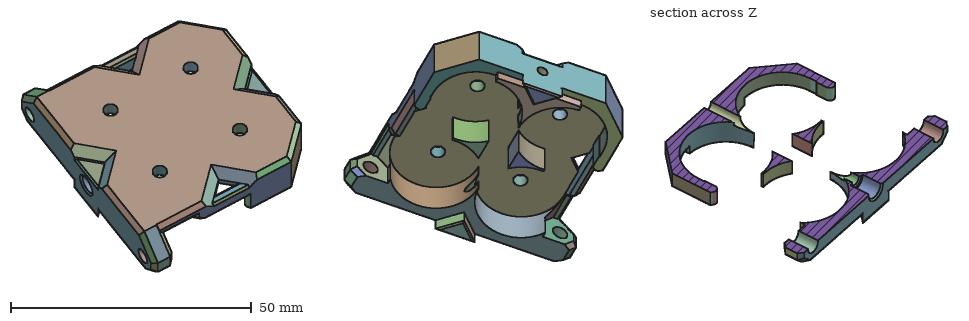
import cadquery as cq
import math

ROOT2 = math.sqrt(2)
OVERHANG = 1.0

body_half_width = 21.5
front_y = -22.0
rear_y = 21.83
body_height = 9.95
rear_corner = 7.05
edge_chamfer = 1.07
plate_thickness = 3.3

bar_half_width = 25.75
bar_thickness = 5.15
ear_top_corner = 5.2
ear_bottom_corner = 1.6
bar_back_y = front_y + bar_thickness

bore_radius = 9.65
bore_x = 9.7
bore_pitch_y = 19.8
bore_shift_y = -0.25
front_bore_y = bore_shift_y - bore_pitch_y / 2
rear_bore_y = bore_shift_y + bore_pitch_y / 2
cavity_half_width = bore_x + bore_radius
center_recess_half_width = 3.4
web_neck_x = 10.4

window_ramp_y = -6.67
window_step_y = -8.0
window_low_z = -4.94
window_high_z = -2.24
window_chamfer = 1.07
window_top_chamfer = 0.44
window_slope_x = -20.02
window_inner_x = -17.66

wall_end_y = 4.79
wall_end_chamfer_x = 0.45
wall_end_chamfer_y = 0.3
wall_end_nose_y = 4.2
wall_end_nose_x = -20.3
wall_end_root_y = 8.0

front_notch_reach = 7.42
side_notch_reach = 7.8
notch_slope_depth = 2.0
sill_chamfer = 0.5
front_sill_depth = 2.65
front_sill_chamfer = 0.4
rear_sill_depth = 2.7
rear_pocket_chamfer = 0.4

foot_size = 4.5
foot_height = 3.0
foot_chamfer = 0.35
boss_half_width = 9.5
boss_front_y = 9.79
boss_rear_y = 20.3
boss_height = 2.0

mount_hole_diameter = 3.0
mount_hole_x = 9.4
mount_hole_y = 9.9
ear_hole_diameter = 3.3
ear_hole_x = 21.6
cross_hole_z = -6.75
insert_diameter = 4.1
insert_depth = 5.0
insert_mouth_chamfer = 0.4
screw_diameter = 2.3
screw_chamfer = 0.35


def box(x0, x1, y0, y1, z0, z1):
    """Axis-aligned block between the given limits."""
    return cq.Workplane("XY").box(x1 - x0, y1 - y0, z1 - z0, centered=False).translate((x0, y0, z0))


def triangle(reach, z):
    """Right-angled triangle outline pointing +Y whose apex is `reach` inside the edge at Y = 0."""
    half_base = reach + OVERHANG
    points = [(-half_base, -OVERHANG), (half_base, -OVERHANG), (0, reach)]
    return cq.Workplane("XY", origin=(0, 0, z)).polyline(points).close()


def make_body():
    """Main block with cut rear corners and a chamfered top; its front end lies inside the bar."""
    inner_front_y = (front_y + bar_back_y) / 2
    points = [
        (-body_half_width, inner_front_y),
        (body_half_width, inner_front_y),
        (body_half_width, rear_y - rear_corner),
        (body_half_width - rear_corner, rear_y),
        (rear_corner - body_half_width, rear_y),
        (-body_half_width, rear_y - rear_corner),
    ]
    body = cq.Workplane("XY").polyline(points).close().extrude(-body_height)
    return body.faces(">Z").edges("not(<Y)").chamfer(edge_chamfer)


def make_bar():
    """Front bar carrying the ears, chamfered all round except along its bottom."""
    points = [
        (ear_bottom_corner - bar_half_width, -body_height),
        (bar_half_width - ear_bottom_corner, -body_height),
        (bar_half_width, ear_bottom_corner - body_height),
        (bar_half_width, -ear_top_corner),
        (bar_half_width - ear_top_corner, 0),
        (ear_top_corner - bar_half_width, 0),
        (-bar_half_width, -ear_top_corner),
        (-bar_half_width, ear_bottom_corner - body_height),
    ]
    bar = cq.Workplane("XZ", origin=(0, front_y, 0)).polyline(points).close().extrude(-bar_thickness)
    return bar.faces("<Y or >Y").edges("not(<Z)").chamfer(edge_chamfer)


def make_wall_end():
    """Wall that stays behind the -X window: chamfered outside, then rounded towards the bore."""
    outer_x = -body_half_width
    arc_start_x = outer_x + wall_end_chamfer_x
    arc_start_y = wall_end_y - wall_end_chamfer_y
    half_chord = wall_end_nose_x - arc_start_x
    rise = arc_start_y - wall_end_nose_y
    nose_radius = (half_chord**2 + rise**2) / (2 * rise)
    arc_end_x = wall_end_nose_x + nose_radius
    arc_end_y = wall_end_nose_y + nose_radius
    profile = (
        cq.Workplane("XY")
        .moveTo(outer_x, wall_end_root_y)
        .lineTo(outer_x, wall_end_y)
        .lineTo(arc_start_x, arc_start_y)
        .threePointArc((wall_end_nose_x, wall_end_nose_y), (arc_end_x, arc_end_y))
        .lineTo(arc_end_x, wall_end_root_y)
        .close()
    )
    return profile.extrude(-body_height)


def make_cavity():
    """Four bores joined by a central recess and cleared out to the side walls."""
    centers = [(sx * bore_x, y) for sx in (-1, 1) for y in (front_bore_y, rear_bore_y)]
    depth = body_height - plate_thickness
    underside = cq.Workplane("XY", origin=(0, 0, -body_height))
    cavity = underside.pushPoints(centers).circle(bore_radius).extrude(depth)
    low, high = -body_height, -plate_thickness
    wall_end = make_wall_end()
    wall_ends = wall_end.union(wall_end.mirror("YZ"))
    recess = box(-center_recess_half_width, center_recess_half_width, front_bore_y, rear_bore_y, low, high)
    cavity = cavity.union(recess)
    for x0, x1 in ((-cavity_half_width, -web_neck_x), (web_neck_x, cavity_half_width)):
        cavity = cavity.union(box(x0, x1, front_bore_y, rear_bore_y, low, high).cut(wall_ends))
    return cavity


def window_section(x, inset, top_inset):
    """Stepped window outline in the YZ plane, its edges moved inward by `inset`, the top by `top_inset`."""
    ramp_shift = inset * (ROOT2 - 1)
    ramp_rise = window_ramp_y - window_step_y
    bottom_z = -body_height - OVERHANG
    points = [
        (wall_end_root_y, bottom_z),
        (wall_end_root_y, window_low_z - inset),
        (window_ramp_y - ramp_shift, window_low_z - inset),
        (window_step_y - inset, window_low_z + ramp_rise - ramp_shift),
        (window_step_y - inset, window_high_z - top_inset),
        (bar_back_y, window_high_z - top_inset),
        (bar_back_y, bottom_z),
    ]
    return cq.Workplane("YZ", origin=(x, 0, 0)).polyline(points).close()


def make_window():
    """Cutter for the -X wall: chamfered mouth, then a straight passage under a falling ceiling."""
    outer_x = -body_half_width
    mouth_end_x = outer_x + window_chamfer
    mouth = [
        window_section(outer_x, 0, 0),
        window_section(outer_x + window_top_chamfer, window_top_chamfer, window_top_chamfer),
        window_section(mouth_end_x, window_chamfer, window_top_chamfer),
    ]
    window = window_section(outer_x - OVERHANG, 0, 0).extrude(OVERHANG)
    for start, end in zip(mouth, mouth[1:]):
        step = cq.Solid.makeLoft([start.wires().val(), end.wires().val()], True)
        window = window.union(cq.Workplane(step))

    passage = mouth[-1].extrude(window_inner_x - mouth_end_x)
    ceiling_z = window_high_z - window_top_chamfer
    fall = window_inner_x - window_slope_x
    points = [(window_slope_x, ceiling_z), (window_inner_x, ceiling_z - fall), (window_inner_x, ceiling_z)]
    ceiling = cq.Workplane("XZ", origin=(0, wall_end_root_y, 0)).polyline(points).close()
    passage = passage.cut(ceiling.extrude(wall_end_root_y - bar_back_y))
    return window.union(passage).cut(make_wall_end())


def sloped_notch(reach, depth):
    """V notch opening at Y = 0 whose two walls lean in at 45 degrees."""
    top = triangle(reach, 0).wires().val()
    bottom = triangle(reach - depth * ROOT2, -depth).wires().val()
    return cq.Workplane(cq.Solid.makeLoft([top, bottom], True))


def straight_pocket(reach, depth):
    """Straight-walled triangle that carries on below a sloped notch, down to `depth`."""
    pocket_reach = reach - notch_slope_depth * ROOT2
    return triangle(pocket_reach, -notch_slope_depth).extrude(notch_slope_depth - depth)


def sill(length, depth, half_width, chamfer):
    """Ledge left standing in a notch, `depth` below the top, chamfered along both long edges."""
    low = -depth - chamfer
    points = [(0, low), (chamfer, -depth), (length - chamfer, -depth), (length, low)]
    profile = cq.Workplane("YZ", origin=(-half_width, 0, 0)).polyline(points).close()
    return profile.extrude(2 * half_width)


def make_side_notch():
    """Sloped notch that opens through the plate behind a chamfered wall top."""
    wall = body_half_width - cavity_half_width
    rim_depth = notch_slope_depth + sill_chamfer
    rim = box(-side_notch_reach, side_notch_reach, -OVERHANG, sill_chamfer, -rim_depth, 0)
    rim = sloped_notch(side_notch_reach, rim_depth).intersect(rim)
    wall_top = sill(wall, notch_slope_depth, side_notch_reach, sill_chamfer)
    wall_body = box(-side_notch_reach, side_notch_reach, -OVERHANG, wall, -plate_thickness, -rim_depth)
    opening = straight_pocket(side_notch_reach, plate_thickness).cut(wall_body)
    inner = box(-side_notch_reach, side_notch_reach, sill_chamfer, side_notch_reach, -plate_thickness, 0)
    opening = opening.intersect(inner)
    return sloped_notch(side_notch_reach, notch_slope_depth).union(rim).union(opening).cut(wall_top)


def make_front_notch():
    """Sloped notch with a flat-bottomed pocket below it."""
    pocket = straight_pocket(front_notch_reach, front_sill_depth + front_sill_chamfer)
    pocket = pocket.cut(sill(front_notch_reach, front_sill_depth, front_notch_reach, front_sill_chamfer))
    return sloped_notch(front_notch_reach, notch_slope_depth).union(pocket)


def make_rear_notch():
    """Like the front notch, but the pocket flanks are chamfered at the floor behind the rim."""
    chamfer_top = rear_sill_depth - rear_pocket_chamfer
    rim_depth = rear_sill_depth + sill_chamfer
    pocket_reach = front_notch_reach - notch_slope_depth * ROOT2
    pocket = straight_pocket(front_notch_reach, chamfer_top)
    floor = sloped_notch(pocket_reach, rear_pocket_chamfer).translate((0, 0, -chamfer_top))
    rim = box(-front_notch_reach, front_notch_reach, -OVERHANG, sill_chamfer, -rim_depth, 0)
    rim = straight_pocket(front_notch_reach, rim_depth).intersect(rim)
    rim = rim.cut(sill(front_notch_reach, rear_sill_depth, front_notch_reach, sill_chamfer))
    return sloped_notch(front_notch_reach, notch_slope_depth).union(pocket).union(floor).union(rim)


def make_foot():
    """Triangular foot with its long side at Y = 0, chamfered underneath."""
    points = [(-foot_size, 0), (foot_size, 0), (0, foot_size)]
    foot = cq.Workplane("XY", origin=(0, 0, -body_height)).polyline(points).close().extrude(-foot_height)
    return foot.faces("<Z").edges().chamfer(foot_chamfer)


def make_boss():
    """Flared boss that continues the web between the two rear bores."""
    low = -body_height - boss_height
    boss = box(-boss_half_width, boss_half_width, boss_front_y, boss_rear_y, low, -body_height)
    centers = [(-bore_x, rear_bore_y), (bore_x, rear_bore_y)]
    underside = cq.Workplane("XY", origin=(0, 0, low))
    bores = underside.pushPoints(centers).circle(bore_radius).extrude(boss_height)
    return boss.cut(bores)


def cut_holes(part):
    """Mounting holes, ear holes and the stepped insert hole, whose screw bore runs out at the rear."""
    mounts = cq.Workplane("XY").rect(2 * mount_hole_x, 2 * mount_hole_y, forConstruction=True).vertices()
    part = part.cut(mounts.circle(mount_hole_diameter / 2).extrude(-body_height))

    front = cq.Workplane("XZ", origin=(0, front_y, cross_hole_z))
    ears = front.pushPoints([(-ear_hole_x, 0), (ear_hole_x, 0)])
    part = part.cut(ears.circle(ear_hole_diameter / 2).extrude(-bar_thickness))

    insert_radius = insert_diameter / 2
    screw_radius = screw_diameter / 2
    screw_end = rear_y - front_y
    profile = [
        (0, 0),
        (insert_radius + insert_mouth_chamfer, 0),
        (insert_radius, insert_mouth_chamfer),
        (insert_radius, insert_depth),
        (screw_radius + screw_chamfer, insert_depth),
        (screw_radius, insert_depth + screw_chamfer),
        (screw_radius, screw_end),
        (0, screw_end),
    ]
    stepped = cq.Workplane("XY").polyline(profile).close().revolve(360, (0, 0, 0), (0, 1, 0))
    return part.cut(stepped.translate((0, front_y, cross_hole_z)))


def rotate_z(shape, angle):
    """Turn a shape about the Z axis."""
    return shape.rotate((0, 0, 0), (0, 0, 1), angle)


part = make_body().union(make_bar()).cut(make_cavity())

window = make_window()
part = part.cut(window).cut(window.mirror("YZ"))

side_notch = make_side_notch()
part = part.cut(rotate_z(side_notch, -90).translate((-body_half_width, 0, 0)))
part = part.cut(rotate_z(side_notch, 90).translate((body_half_width, 0, 0)))
part = part.cut(make_front_notch().translate((0, front_y, 0)))
part = part.cut(rotate_z(make_rear_notch(), 180).translate((0, rear_y, 0)))

foot = make_foot()
part = part.union(foot.translate((0, front_y, 0)))
part = part.union(rotate_z(foot, 180).translate((0, rear_y, 0)))
part = part.union(make_boss())

result = cut_holes(part)